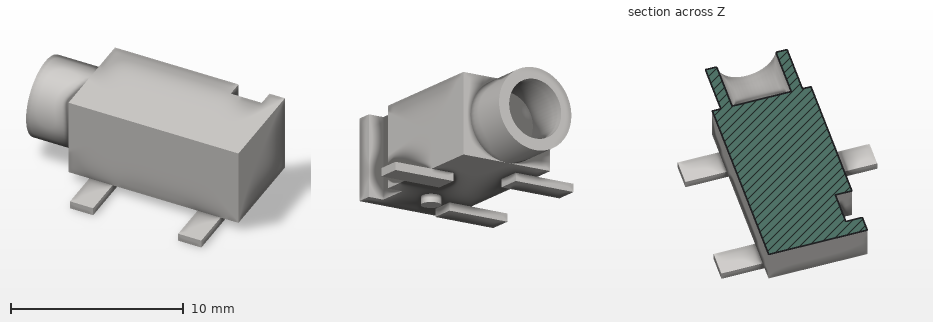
import cadquery as cq

body_length = 11.0
body_width = 6.0
body_height = 5.0

barrel_length = 3.0
barrel_diameter = 5.0
bore_diameter = 3.6
bore_depth = barrel_length

notch_length = 2.0
notch_depth = 1.0
notch_rear_wall = 1.0

terminal_width = 1.5
terminal_length = 4.0
terminal_thickness = 0.5
terminal_overhang = 2.5
near_side_terminal_centers = (2.1, 9.1)
far_side_terminal_centers = (4.1,)

peg_diameter = 1.2
peg_height = terminal_thickness
peg_center_x = 8.0


def make_housing():
    """Rectangular block with the side notch near its rear end."""
    block = cq.Workplane("XY").box(body_length, body_width, body_height, centered=(False, True, False))
    notch_start = body_length - notch_rear_wall - notch_length
    notch = (
        cq.Workplane("XY")
        .box(notch_length, notch_depth, body_height, centered=False)
        .translate((notch_start, body_width / 2 - notch_depth, 0))
    )
    return block.cut(notch)


def make_cylinder_along_x(diameter, length):
    """Cylinder on the plug axis, starting at the barrel mouth and running toward +X."""
    return (
        cq.Workplane("YZ", origin=(-barrel_length, 0, body_height / 2))
        .circle(diameter / 2)
        .extrude(length)
    )


def make_terminal(center_x, side):
    """Flat terminal reaching out past the housing; side is +1 for +Y and -1 for -Y."""
    center_y = side * (body_width / 2 + terminal_overhang - terminal_length / 2)
    return (
        cq.Workplane("XY")
        .box(terminal_width, terminal_length, terminal_thickness)
        .translate((center_x, center_y, -terminal_thickness / 2))
    )


def make_peg():
    """Locating peg hanging below the housing on its centre line."""
    return cq.Workplane("XY").center(peg_center_x, 0).circle(peg_diameter / 2).extrude(-peg_height)


result = make_housing().union(make_cylinder_along_x(barrel_diameter, barrel_length))
result = result.cut(make_cylinder_along_x(bore_diameter, bore_depth))
for terminal_center in near_side_terminal_centers:
    result = result.union(make_terminal(terminal_center, -1))
for terminal_center in far_side_terminal_centers:
    result = result.union(make_terminal(terminal_center, 1))
result = result.union(make_peg())